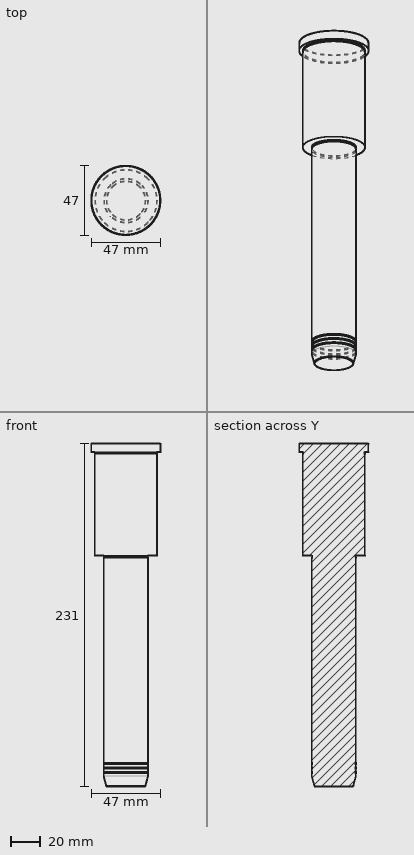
import cadquery as cq

total_length = 231.0
flange_diameter = 47.0
flange_thickness = 6.0
flange_edge_chamfer = 0.5

body_diameter = 42.0
body_bottom_depth = 75.5

shank_diameter = 30.0
nose_length = 7.2
nose_tip_diameter = 26.5
tip_chamfer = 0.5

body_relief_width = 1.2
shank_relief_width = 1.5
relief_depth = 0.5

groove_count = 3
groove_width = 1.0
groove_depth = 0.5
groove_pitch = 3.0
lowest_groove_top = 10.0

flange_bottom = total_length - flange_thickness
body_bottom = total_length - body_bottom_depth


def cylinder(diameter, bottom, top):
    return cq.Workplane("XY").workplane(offset=bottom).circle(diameter / 2).extrude(top - bottom)


def groove_ring(cylinder_diameter, top, width, depth):
    """Ring with a V-shaped inner side that cuts a shallow groove into a cylinder."""
    radius = cylinder_diameter / 2
    return (
        cq.Workplane("XZ")
        .moveTo(radius, top)
        .lineTo(radius - depth, top - width / 2)
        .lineTo(radius, top - width)
        .lineTo(radius + width, top - width)
        .lineTo(radius + width, top)
        .close()
        .revolve(360, (0, 0, 0), (0, 1, 0))
    )


def make_flange():
    flange = cylinder(flange_diameter, flange_bottom, total_length)
    return flange.faces(">Z").edges().chamfer(flange_edge_chamfer)


def make_body():
    body = cylinder(body_diameter, body_bottom, flange_bottom)
    return body.cut(groove_ring(body_diameter, flange_bottom, body_relief_width, relief_depth))


def make_nose():
    """Nose that tapers to a flat, chamfered tip."""
    return (
        cq.Workplane("XZ")
        .lineTo(nose_tip_diameter / 2 - tip_chamfer, 0)
        .lineTo(nose_tip_diameter / 2, tip_chamfer)
        .lineTo(shank_diameter / 2, nose_length)
        .lineTo(0, nose_length)
        .close()
        .revolve(360, (0, 0, 0), (0, 1, 0))
    )


def make_shank():
    shank = cylinder(shank_diameter, nose_length, body_bottom)
    shank = shank.cut(groove_ring(shank_diameter, body_bottom, shank_relief_width, relief_depth))
    for index in range(groove_count):
        groove_top = lowest_groove_top + index * groove_pitch
        shank = shank.cut(groove_ring(shank_diameter, groove_top, groove_width, groove_depth))
    return shank


result = make_flange().union(make_body()).union(make_shank()).union(make_nose())